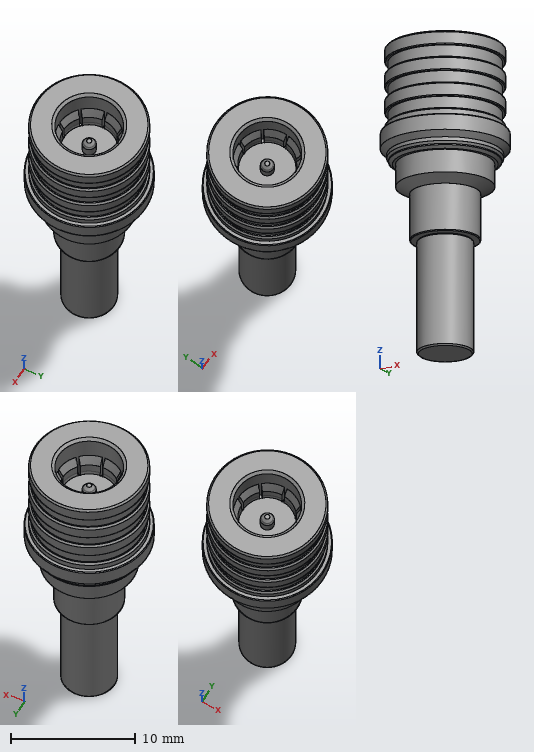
import cadquery as cq

LENGTH = 25.85

RING_RADIUS = 4.89
GROOVE_RADIUS = 4.63
RING_PITCH = 2.17
RING_HEIGHT = 1.2
RING_COUNT = 3
RING_UPPER_CHAMFER = 0.15
RING_LOWER_CHAMFER = 0.08
FLANGE_RADIUS = 5.25
FLANGE_TOP = 18.7
FLANGE_CHAMFER = 0.08
FLANGE_BOTTOM = 17.32

UNDERCUT_RADIUS = 4.73
UNDERCUT_TOP = 16.85
UNDERCUT_BOTTOM = 16.55
LIP_RADIUS = 4.58
LIP_TOP = 16.35
LIP_BOTTOM = 16.23
LIP_END_RADIUS = 4.27

BODY_RADIUS = 4.0
BODY_TOP = 16.03
BODY_BOTTOM = 14.11
FERRULE_RADIUS = 2.87
FERRULE_TOP = 13.52
FERRULE_BOTTOM = 9.55
FERRULE_CHAMFER = 0.08
TUBE_RADIUS = 2.3
TUBE_CHAMFER = 0.13

MOUTH_RADIUS = 3.02
BORE_RADIUS = 2.77
MOUTH_DEPTH = 0.2
FINGER_TOP_DEPTH = 1.95
FINGER_NECK_DEPTH = 2.7
FINGER_NECK_RADIUS = 2.38
FINGER_NECK_END_DEPTH = 3.45
SOCKET_FLOOR_RADIUS = 2.33
SOCKET_DEPTH = 3.72
SLOT_DEPTH = 4.03
SLOT_COUNT = 8
SLOT_WIDTH = 0.23
PIN_RADIUS = 0.57
PIN_NECK_RADIUS = 0.47
PIN_TIP_RADIUS = 0.2
PIN_TIP_DEPTH = 2.45
PIN_NECK_DEPTH = 2.71
PIN_SHOULDER_DEPTH = 2.9


def revolve_profile(points):
    """Revolve a closed (radius, height) outline about the Z axis."""
    return cq.Workplane("XZ").polyline(points).close().revolve(360, (0, 0), (0, 1))


def make_ring(bottom, top):
    """Solid grip ring between two heights, with 45 degree edge chamfers."""
    return revolve_profile([
        (0, bottom),
        (RING_RADIUS - RING_LOWER_CHAMFER, bottom),
        (RING_RADIUS, bottom + RING_LOWER_CHAMFER),
        (RING_RADIUS, top - RING_UPPER_CHAMFER),
        (RING_RADIUS - RING_UPPER_CHAMFER, top),
        (0, top),
    ])


def make_coupling_nut():
    core_height = LENGTH - RING_UPPER_CHAMFER - FLANGE_TOP
    nut = cq.Workplane("XY").workplane(offset=FLANGE_TOP).circle(GROOVE_RADIUS).extrude(core_height)
    for index in range(RING_COUNT):
        top = LENGTH - index * RING_PITCH
        nut = nut.union(make_ring(top - RING_HEIGHT, top))
    shoulder_top = LENGTH - RING_COUNT * RING_PITCH
    return nut.union(make_ring(FLANGE_BOTTOM, shoulder_top))


def make_flange_and_rear():
    return revolve_profile([
        (0, 0),
        (TUBE_RADIUS - TUBE_CHAMFER, 0),
        (TUBE_RADIUS, TUBE_CHAMFER),
        (TUBE_RADIUS, FERRULE_BOTTOM - TUBE_CHAMFER),
        (TUBE_RADIUS - TUBE_CHAMFER, FERRULE_BOTTOM),
        (FERRULE_RADIUS - FERRULE_CHAMFER, FERRULE_BOTTOM),
        (FERRULE_RADIUS, FERRULE_BOTTOM + FERRULE_CHAMFER),
        (FERRULE_RADIUS, FERRULE_TOP),
        (BODY_RADIUS, BODY_BOTTOM),
        (BODY_RADIUS, BODY_TOP),
        (LIP_END_RADIUS, BODY_TOP),
        (LIP_RADIUS, LIP_BOTTOM),
        (LIP_RADIUS, LIP_TOP),
        (UNDERCUT_RADIUS, UNDERCUT_BOTTOM),
        (UNDERCUT_RADIUS, UNDERCUT_TOP),
        (FLANGE_RADIUS, FLANGE_BOTTOM),
        (FLANGE_RADIUS, FLANGE_TOP - FLANGE_CHAMFER),
        (FLANGE_RADIUS - FLANGE_CHAMFER, FLANGE_TOP),
        (0, FLANGE_TOP),
    ])


def make_socket():
    """Stepped cavity that opens at the mating face."""
    floor = LENGTH - SOCKET_DEPTH
    return revolve_profile([
        (0, floor),
        (SOCKET_FLOOR_RADIUS, floor),
        (FINGER_NECK_RADIUS, LENGTH - FINGER_NECK_END_DEPTH),
        (FINGER_NECK_RADIUS, LENGTH - FINGER_NECK_DEPTH),
        (BORE_RADIUS, LENGTH - FINGER_TOP_DEPTH),
        (BORE_RADIUS, LENGTH - MOUTH_DEPTH),
        (MOUTH_RADIUS, LENGTH),
        (0, LENGTH),
    ])


def make_finger_slots():
    """Radial slots between the socket floor and the bore that separate the fingers."""
    slot_bottom = LENGTH - SLOT_DEPTH
    slot_height = SLOT_DEPTH - FINGER_TOP_DEPTH
    slots = (
        cq.Workplane("XY")
        .workplane(offset=slot_bottom)
        .polarArray(BORE_RADIUS, 0, 360, SLOT_COUNT)
        .rect(BORE_RADIUS, SLOT_WIDTH)
        .extrude(slot_height)
    )
    finger_ring = (
        cq.Workplane("XY")
        .workplane(offset=slot_bottom)
        .circle(BORE_RADIUS)
        .circle(SOCKET_FLOOR_RADIUS)
        .extrude(slot_height)
    )
    return slots.intersect(finger_ring)


def make_pin():
    """Centre pin with a blunt conical tip and a steeper shoulder below it."""
    tip = LENGTH - PIN_TIP_DEPTH
    root = LENGTH - SLOT_DEPTH
    return revolve_profile([
        (0, root),
        (PIN_RADIUS, root),
        (PIN_RADIUS, LENGTH - PIN_SHOULDER_DEPTH),
        (PIN_NECK_RADIUS, LENGTH - PIN_NECK_DEPTH),
        (PIN_TIP_RADIUS, tip),
        (0, tip),
    ])


connector = make_coupling_nut().union(make_flange_and_rear())
connector = connector.cut(make_socket().union(make_finger_slots()))
result = connector.union(make_pin())